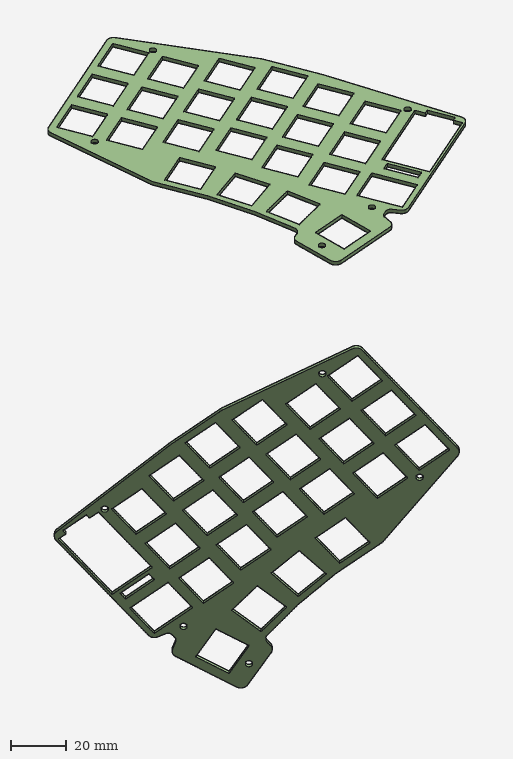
import cadquery as cq

length = 136.9
thickness = 1.6
plate_top = 98.2

key_size = 14.0
row_pitch = 19.2
column_centers = [
    (9.7, 59.7),
    (29.0, 59.7),
    (48.2, 66.4),
    (67.5, 69.3),
    (86.5, 66.4),
    (106.0, 63.7),
]
thumb_keys = [
    (57.1, 27.2, 0),
    (78.3, 26.0, 5),
    (98.8, 23.1, 10),
    (120.6, 17.1, 20),
]

display_left = 117.5
display_right = 136.0
display_bottom = 61.0
display_top = 91.7
display_tab_left = 121.5
display_tab_right = 132.4
display_tab_top = 93.5
slot_size = (13.3, 3.1)
slot_center = (126.8, 58.0)
wide_key_size = (17.7, key_size)
wide_key_center = (126.0, 45.5)

hole_diameter = 2.6
hole_centers = [(17.5, 87.8), (114.9, 91.3), (124.7, 34.2), (18.5, 31.1), (116.6, 7.0)]

outline_corners = [
    (0, 89.0, 2.7),
    (55.5, plate_top, 0),
    (79.1, plate_top, 0),
    (length, 94.5, 2.7),
    (length, 37.0, 2.7),
    (130.2, 35.5, 1.9),
    (130.2, 31.4, 1.9),
    (135.8, 27.9, 2.5),
    (125.4, -0.8, 2.9),
    (105.7, 6.3, 2.5),
    (105.7, 12.0, 2.5),
    (86.9, 15.7, 0),
    (67.9, 17.7, 0),
    (46.4, 17.7, 0),
    (0, 30.3, 2.7),
]


def make_plate():
    """Flat plate with its outline corners rounded one by one."""
    corner_points = [(x, y) for x, y, radius in outline_corners]
    plate = cq.Workplane("XY").polyline(corner_points).close().extrude(thickness)
    for x, y, radius in outline_corners:
        if radius > 0:
            corner_edge = cq.selectors.NearestToPointSelector((x, y, thickness / 2))
            plate = plate.edges("|Z").edges(corner_edge).fillet(radius)
    return plate


def rectangle_cutter(center, size, clockwise_tilt=0):
    """Block through the plate, turned about its own centre."""
    block = cq.Workplane("XY").rect(*size).extrude(thickness)
    return block.rotate((0, 0, 0), (0, 0, 1), -clockwise_tilt).translate((*center, 0))


def cut_column_keys(plate):
    for x, middle_y in column_centers:
        for row in (-1, 0, 1):
            plate = plate.cut(rectangle_cutter((x, middle_y + row * row_pitch), (key_size, key_size)))
    return plate


def cut_thumb_keys(plate):
    for x, y, tilt in thumb_keys:
        plate = plate.cut(rectangle_cutter((x, y), (key_size, key_size), tilt))
    return plate


def cut_display_window(plate):
    """Tall window with a narrower tab at its upper end."""
    window = (
        cq.Workplane("XY")
        .moveTo(display_left, display_bottom)
        .lineTo(display_right, display_bottom)
        .lineTo(display_right, display_top)
        .lineTo(display_tab_right, display_top)
        .lineTo(display_tab_right, display_tab_top)
        .lineTo(display_tab_left, display_tab_top)
        .lineTo(display_tab_left, display_top)
        .lineTo(display_left, display_top)
        .close()
        .extrude(thickness)
    )
    return plate.cut(window)


def cut_screw_holes(plate):
    holes = cq.Workplane("XY").pushPoints(hole_centers).circle(hole_diameter / 2).extrude(thickness)
    return plate.cut(holes)


result = make_plate()
result = cut_column_keys(result)
result = cut_thumb_keys(result)
result = cut_display_window(result)
result = result.cut(rectangle_cutter(slot_center, slot_size))
result = result.cut(rectangle_cutter(wide_key_center, wide_key_size))
result = cut_screw_holes(result)